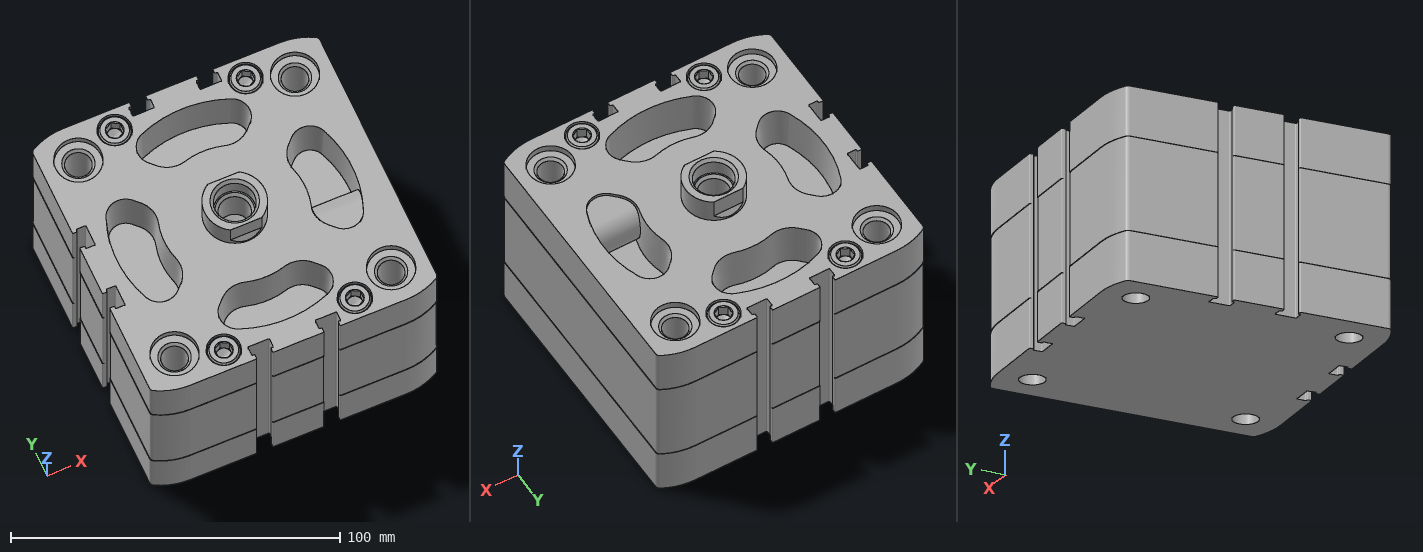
import cadquery as cq
import math

WIDTH = 95.5
BODY_HEIGHT = 64.1
TOTAL_HEIGHT = 72.9
CAP_HEIGHT = 16.5
BARREL_HEIGHT = BODY_HEIGHT - 2 * CAP_HEIGHT
BARREL_INSET = 0.14
SHOULDER_RADIUS = 22.8
SHOULDER_WIDTH = 11.8
CORNER_FILLET = 1.5

SLOT_OFFSET = 11.2
SLOT_NECK = 5.35
SLOT_LIP = 1.6
SLOT_WIDTH = 7.2
SLOT_DEPTH = 4.8
SLOT_FILLET = 0.3

MOUNT_OFFSET = 36.0
MOUNT_DIAMETER = 8.4
MOUNT_CHAMFER_DIAMETER = 10.1
MOUNT_BORE_DIAMETER = 15.0
MOUNT_BORE_DEPTH = 2.4

SCREW_X = 21.8
SCREW_Y = 40.9
SCREW_RECESS_DIAMETER = 10.7
SCREW_RECESS_DEPTH = 1.9
SCREW_HEAD_DIAMETER = 10.0
SCREW_TOP_DIAMETER = 9.0
HEX_SIDES = 6
HEX_ACROSS_FLATS = 5.0
HEX_DEPTH = 3.8
HEX_CONE_HEIGHT = 1.4

POCKET_OUTER_RADIUS = 39.2
POCKET_INNER_RADIUS = 23.4
POCKET_RIB = 13.6
POCKET_INNER_FILLET = 8.6
POCKET_OUTER_FILLET = 6.0
POCKET_DEPTH = 14.8
POCKET_TAPER = 3.0
PORT_Y = -11.65
PORT_RADIUS = 7.1
PORT_SINK = 1.0

ROD_DIAMETER = 20.0
ROD_BOTTOM = CAP_HEIGHT
ROD_FLATS = 17.0
FLAT_LENGTH = 6.7
ROD_BORE_CHAMFER_DIAMETER = 15.0
ROD_BORE_DIAMETER = 13.0
ROD_BORE_DEPTH = 6.2
ROD_SEAT_DIAMETER = 12.0
ROD_DRILL_DIAMETER = 10.1
ROD_DRILL_DEPTH = 19.1
DRILL_POINT_ANGLE = 118.0


def four_corners(x, y):
    return [(sx * x, sy * y) for sx in (-1, 1) for sy in (-1, 1)]


def cylinder(diameter, bottom, top):
    return cq.Workplane("XY").workplane(offset=bottom).circle(diameter / 2).extrude(top - bottom)


def revolved(profile):
    """Solid of revolution about Z from (radius, height) points."""
    return cq.Workplane("XZ").polyline(profile).close().revolve(360, (0, 0, 0), (0, 1, 0))


def outer_prism(inset, bottom, height):
    """Square block whose four corners are rounded off by large arcs."""
    half = WIDTH / 2 - inset
    start = WIDTH / 2 - SHOULDER_WIDTH
    run = half - start

    def drop(distance):
        return SHOULDER_RADIUS - math.sqrt(SHOULDER_RADIUS ** 2 - distance ** 2)

    edge_y = half - drop(run)
    mid_x = start + run / 2
    mid_y = half - drop(run / 2)
    return (
        cq.Workplane("XY").workplane(offset=bottom)
        .moveTo(-start, half).lineTo(start, half)
        .threePointArc((mid_x, mid_y), (half, edge_y)).lineTo(half, -edge_y)
        .threePointArc((mid_x, -mid_y), (start, -half)).lineTo(-start, -half)
        .threePointArc((-mid_x, -mid_y), (-half, -edge_y)).lineTo(-half, edge_y)
        .threePointArc((-mid_x, mid_y), (-start, half)).close()
        .extrude(height)
        .edges("|Z and (<X or >X)").fillet(CORNER_FILLET)
    )


def t_slot(inset, bottom, height):
    """T-slot opening at the -Y face of a body section, with all its edges rounded."""
    face = -WIDTH / 2
    neck = cq.Workplane("XY").box(SLOT_NECK, SLOT_DEPTH, height, centered=(True, False, False))
    foot = (
        cq.Workplane("XY")
        .box(SLOT_WIDTH, SLOT_DEPTH - SLOT_LIP, height, centered=(True, False, False))
        .translate((0, SLOT_LIP, 0))
    )
    slot = neck.union(foot).edges("|Z and (not <Y)").fillet(SLOT_FILLET).translate((0, face, 0))
    mouth_y = face + inset
    mouth = (
        cq.Workplane("XY")
        .rect(SLOT_NECK + 2 * SLOT_FILLET, 2 * SLOT_FILLET)
        .extrude(height)
        .translate((0, mouth_y, 0))
    )
    for side in (-1, 1):
        lip_center = (side * (SLOT_NECK / 2 + SLOT_FILLET), mouth_y + SLOT_FILLET, 0)
        mouth = mouth.cut(cylinder(2 * SLOT_FILLET, 0, height).translate(lip_center))
    return slot.union(mouth).translate((0, 0, bottom))


def body_section(inset, bottom, height):
    """Outer block with two slots each on the -Y, -X and +Y faces; the +X face is plain."""
    section = outer_prism(inset, bottom, height)
    slot = t_slot(inset, bottom, height)
    for turn in (0, -90, 180):
        for offset in (-SLOT_OFFSET, SLOT_OFFSET):
            placed_slot = slot.translate((offset, 0, 0)).rotate((0, 0, 0), (0, 0, 1), turn)
            section = section.cut(placed_slot)
    return section


def mounting_hole():
    shelf = BODY_HEIGHT - MOUNT_BORE_DEPTH
    chamfer = (MOUNT_CHAMFER_DIAMETER - MOUNT_DIAMETER) / 2
    return revolved([
        (0, 0),
        (MOUNT_DIAMETER / 2, 0),
        (MOUNT_DIAMETER / 2, shelf - chamfer),
        (MOUNT_CHAMFER_DIAMETER / 2, shelf),
        (MOUNT_BORE_DIAMETER / 2, shelf),
        (MOUNT_BORE_DIAMETER / 2, BODY_HEIGHT),
        (0, BODY_HEIGHT),
    ])


def screw_recess():
    """Everything removed around and inside one cap screw."""
    head_chamfer = (SCREW_HEAD_DIAMETER - SCREW_TOP_DIAMETER) / 2
    recess = cylinder(SCREW_RECESS_DIAMETER, BODY_HEIGHT - SCREW_RECESS_DEPTH, BODY_HEIGHT)
    head = (
        cylinder(SCREW_HEAD_DIAMETER, BODY_HEIGHT - SCREW_RECESS_DEPTH, BODY_HEIGHT)
        .faces(">Z").chamfer(head_chamfer)
    )
    half_side_angle = 180 / HEX_SIDES
    hex_corners = HEX_ACROSS_FLATS / math.cos(math.radians(half_side_angle))
    hex_bottom = BODY_HEIGHT - HEX_DEPTH
    socket = (
        cq.Workplane("XY").workplane(offset=hex_bottom)
        .polygon(HEX_SIDES, hex_corners)
        .extrude(HEX_DEPTH)
        .rotate((0, 0, 0), (0, 0, 1), half_side_angle)
    )
    cone = revolved([
        (0, hex_bottom),
        (HEX_ACROSS_FLATS / 2, hex_bottom),
        (0, hex_bottom - HEX_CONE_HEIGHT),
    ])
    hex_countersink = revolved([
        (0, BODY_HEIGHT),
        (hex_corners / 2, BODY_HEIGHT),
        (0, BODY_HEIGHT - hex_corners / 2),
    ])
    return recess.cut(head).union(socket).union(cone).union(hex_countersink)


def kidney_pocket():
    """Tapered pocket on the +X side: a ring sector between two diagonal ribs."""
    rib_shift = POCKET_RIB / math.sqrt(2)

    def rib_crossing(radius):
        y = (math.sqrt(2 * radius ** 2 - rib_shift ** 2) - rib_shift) / 2
        return y + rib_shift, y

    inner_x, inner_y = rib_crossing(POCKET_INNER_RADIUS)
    outer_x, outer_y = rib_crossing(POCKET_OUTER_RADIUS)
    blank_height = 1.0
    blank = (
        cq.Workplane("XY").workplane(offset=BODY_HEIGHT)
        .moveTo(inner_x, -inner_y).lineTo(outer_x, -outer_y)
        .threePointArc((POCKET_OUTER_RADIUS, 0), (outer_x, outer_y)).lineTo(inner_x, inner_y)
        .threePointArc((POCKET_INNER_RADIUS, 0), (inner_x, -inner_y)).close()
        .extrude(blank_height)
        .edges("|Z and <X").fillet(POCKET_INNER_FILLET)
    )
    for side_y in (-outer_y, outer_y):
        outer_edge = cq.selectors.NearestToPointSelector((outer_x, side_y, BODY_HEIGHT + blank_height / 2))
        blank = blank.edges(outer_edge).fillet(POCKET_OUTER_FILLET)
    outline = blank.faces("<Z").wires().val()
    return (
        cq.Workplane("XY").workplane(offset=BODY_HEIGHT)
        .add(outline).toPending()
        .extrude(-POCKET_DEPTH, taper=POCKET_TAPER)
    )


def port_boss():
    """Horizontal barrel along X, filled up level with its crest towards -Y."""
    crest = BODY_HEIGHT - PORT_SINK
    floor = BODY_HEIGHT - POCKET_DEPTH
    fill_length = POCKET_OUTER_RADIUS + PORT_Y
    barrel = (
        cq.Workplane("ZY")
        .center(crest - PORT_RADIUS, PORT_Y)
        .circle(PORT_RADIUS)
        .extrude(-POCKET_OUTER_RADIUS)
    )
    fill = (
        cq.Workplane("XY")
        .box(POCKET_OUTER_RADIUS, fill_length, crest - floor, centered=False)
        .translate((0, -POCKET_OUTER_RADIUS, floor))
    )
    return barrel.union(fill)


def build_housing():
    housing = (
        body_section(0, 0, CAP_HEIGHT)
        .union(body_section(BARREL_INSET, CAP_HEIGHT, BARREL_HEIGHT))
        .union(body_section(0, CAP_HEIGHT + BARREL_HEIGHT, CAP_HEIGHT))
    )
    for x, y in four_corners(MOUNT_OFFSET, MOUNT_OFFSET):
        housing = housing.cut(mounting_hole().translate((x, y, 0)))
    for x, y in four_corners(SCREW_X, SCREW_Y):
        housing = housing.cut(screw_recess().translate((x, y, 0)))
    pocket = kidney_pocket()
    housing = housing.cut(pocket.cut(port_boss()))
    for turn in (90, 180, 270):
        housing = housing.cut(pocket.rotate((0, 0, 0), (0, 0, 1), turn))
    return housing.cut(cylinder(ROD_DIAMETER, ROD_BOTTOM, BODY_HEIGHT))


def rod_bore():
    bore_chamfer = (ROD_BORE_CHAMFER_DIAMETER - ROD_BORE_DIAMETER) / 2
    seat_chamfer = (ROD_SEAT_DIAMETER - ROD_DRILL_DIAMETER) / 2
    seat = TOTAL_HEIGHT - ROD_BORE_DEPTH
    drill_end = TOTAL_HEIGHT - ROD_DRILL_DEPTH
    point = ROD_DRILL_DIAMETER / 2 / math.tan(math.radians(DRILL_POINT_ANGLE / 2))
    return revolved([
        (0, drill_end - point),
        (ROD_DRILL_DIAMETER / 2, drill_end),
        (ROD_DRILL_DIAMETER / 2, seat - seat_chamfer),
        (ROD_SEAT_DIAMETER / 2, seat),
        (ROD_BORE_DIAMETER / 2, seat),
        (ROD_BORE_DIAMETER / 2, TOTAL_HEIGHT - bore_chamfer),
        (ROD_BORE_CHAMFER_DIAMETER / 2, TOTAL_HEIGHT),
        (0, TOTAL_HEIGHT),
    ])


def wrench_flat():
    """Cutter for the +Y wrench flat, running out at 45 degrees at its lower end."""
    radius = ROD_DIAMETER / 2
    flat = ROD_FLATS / 2
    flat_end = TOTAL_HEIGHT - FLAT_LENGTH
    return (
        cq.Workplane("YZ")
        .moveTo(flat, TOTAL_HEIGHT)
        .lineTo(flat, flat_end)
        .lineTo(radius, flat_end - (radius - flat))
        .lineTo(radius, TOTAL_HEIGHT)
        .close()
        .extrude(radius, both=True)
    )


def build_rod():
    rod = cylinder(ROD_DIAMETER, ROD_BOTTOM, TOTAL_HEIGHT).cut(rod_bore())
    for turn in (0, 180):
        rod = rod.cut(wrench_flat().rotate((0, 0, 0), (0, 0, 1), turn))
    return rod


housing = build_housing()
piston_rod = build_rod()

result = cq.Compound.makeCompound([housing.val(), piston_rod.val()])